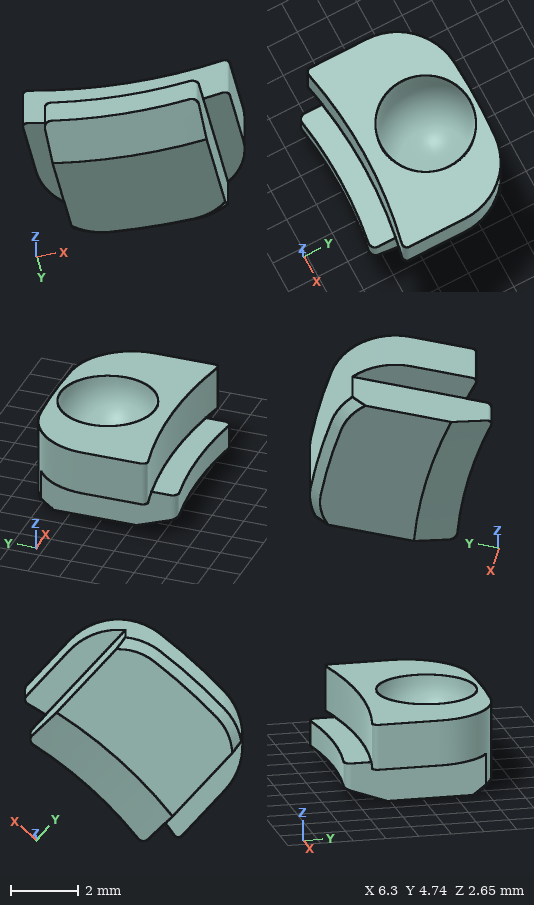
import cadquery as cq
import math

width = 6.3
height = 2.65
foot_height = 1.255
foot_width = 4.69

body_depth = 3.75
foot_depth = 4.57
body_front_radius = 13.985
back_radius = body_front_radius + body_depth
foot_front_radius = back_radius - foot_depth
axis_y = -back_radius

back_corner_radius = 2.0
body_front_corner_radius = 0.16
foot_front_corner_radius = 0.2
back_chamfer = 0.3

bevel_height = 0.47
bevel_angle = 20.0

socket_radius = 1.5
socket_y = -1.695


def curved_block(block_width, front_radius, corner_radius, block_height):
    """Straight-sided block with concentric back and front faces."""
    half = block_width / 2
    back_y = axis_y + math.sqrt(back_radius**2 - half**2)
    front_y = axis_y + math.sqrt(front_radius**2 - half**2)
    return (
        cq.Workplane("XY")
        .moveTo(-half, front_y)
        .threePointArc((0, axis_y + front_radius), (half, front_y))
        .lineTo(half, back_y)
        .threePointArc((0, 0), (-half, back_y))
        .close()
        .extrude(block_height)
        .edges("|Z and <Y")
        .fillet(corner_radius)
    )


def rounded_back(block):
    return block.edges("|Z and (>X or <X)").edges(">Y").fillet(back_corner_radius)


def make_body():
    body_height = height - foot_height
    block = curved_block(width, body_front_radius, body_front_corner_radius, body_height)
    return rounded_back(block).translate((0, 0, foot_height))


def make_foot():
    wide_block = curved_block(width, foot_front_radius, foot_front_corner_radius, foot_height)
    narrow_block = curved_block(foot_width, foot_front_radius, foot_front_corner_radius, foot_height)
    foot = narrow_block.intersect(rounded_back(wide_block))

    foot = foot.faces("<Z").edges(">Y").chamfer(back_chamfer)

    bevel_length = bevel_height / math.tan(math.radians(bevel_angle))
    bevel = (
        cq.Workplane("XZ")
        .moveTo(0, 0)
        .lineTo(foot_front_radius + bevel_length, 0)
        .lineTo(foot_front_radius, bevel_height)
        .lineTo(0, bevel_height)
        .close()
        .revolve(360, (0, 0, 0), (0, 1, 0))
        .translate((0, axis_y, 0))
    )
    return foot.cut(bevel)


socket = cq.Workplane("XY").sphere(socket_radius).translate((0, socket_y, height))
result = make_body().union(make_foot()).cut(socket)